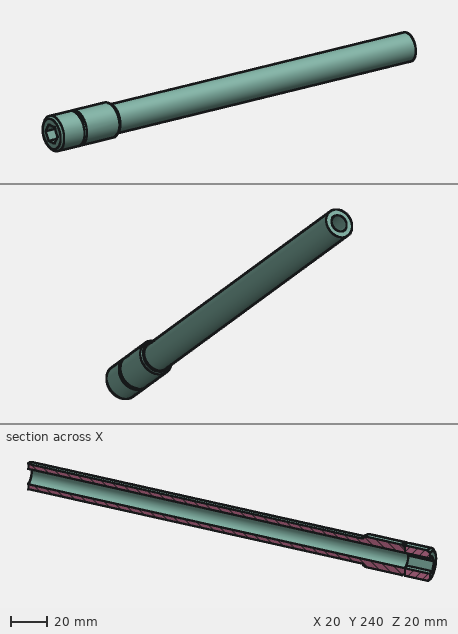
import cadquery as cq
import math

overall_length = 240.0
tip_length = 15.0
collar_length = 25.0
outer_diameter = 60 / 3
tube_diameter = 16.5
hex_across_flats = 9.5
bore_diameter = hex_across_flats
mouth_chamfer = 1.5
collar_front_chamfer = 1.7
collar_front_chamfer_depth = 1.2
collar_rear_chamfer = 1.5
collar_rear_chamfer_depth = 1.0

mouth_y = -overall_length / 2
joint_y = mouth_y + tip_length
shoulder_y = joint_y + collar_length
rear_y = overall_length / 2
outer_radius = outer_diameter / 2
tube_radius = tube_diameter / 2
hex_across_corners = hex_across_flats * 2 / math.sqrt(3)


def revolve_about_y(profile):
    """Solid of revolution from a closed (radius, y) outline."""
    return cq.Workplane("XY").polyline(profile).close().revolve(360, (0, 0, 0), (0, 1, 0))


def axis_plane(start_y):
    """Work plane across the axis, facing +Y."""
    return cq.Workplane(cq.Plane(origin=(0, start_y, 0), xDir=(1, 0, 0), normal=(0, 1, 0)))


def make_tip():
    """Short sleeve with a chamfered mouth, a hexagonal socket and a flat rear face against the collar."""
    body = revolve_about_y([
        (0, mouth_y),
        (outer_radius - mouth_chamfer, mouth_y),
        (outer_radius, mouth_y + mouth_chamfer),
        (outer_radius, joint_y),
        (0, joint_y),
    ])
    hex_socket = axis_plane(mouth_y).polygon(6, hex_across_corners).extrude(tip_length)
    return body.cut(hex_socket)


def make_shaft():
    """Long round-bored tube with a collar at its front, chamfered at both ends."""
    body = revolve_about_y([
        (0, joint_y),
        (outer_radius - collar_front_chamfer_depth, joint_y),
        (outer_radius, joint_y + collar_front_chamfer),
        (outer_radius, shoulder_y - collar_rear_chamfer),
        (outer_radius - collar_rear_chamfer_depth, shoulder_y),
        (tube_radius, shoulder_y),
        (tube_radius, rear_y),
        (0, rear_y),
    ])
    bore = axis_plane(joint_y).circle(bore_diameter / 2).extrude(rear_y - joint_y)
    return body.cut(bore)


tip = make_tip()
shaft = make_shaft()
result = cq.Compound.makeCompound([tip.val(), shaft.val()])